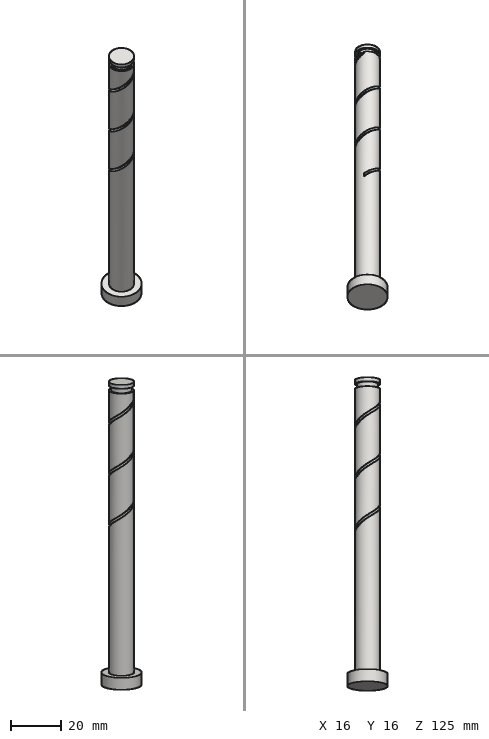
import cadquery as cq

total_height = 125.0
flange_diameter = 16.0
flange_height = 5.0
shaft_diameter = 10.0

end_disc_height = 1.6
neck_height = 2.0
neck_diameter = 8.2

groove_pitch = 21.0
groove_turns = 3
groove_start_height = 58.6
groove_radius = 0.6

shaft_radius = shaft_diameter / 2
disc_bottom = total_height - end_disc_height
shoulder_height = disc_bottom - neck_height


def cylinder(diameter, bottom, top):
    """Vertical cylinder on the Z axis between two heights."""
    return cq.Workplane("XY").workplane(offset=bottom).circle(diameter / 2).extrude(top - bottom)


def pin_body():
    """Flange, shaft, neck and end disc stacked on one axis."""
    flange = cylinder(flange_diameter, 0, flange_height)
    shaft = cylinder(shaft_diameter, flange_height, shoulder_height)
    neck = cylinder(neck_diameter, shoulder_height, disc_bottom)
    end_disc = cylinder(shaft_diameter, disc_bottom, total_height)
    return flange.union(shaft).union(neck).union(end_disc)


def spiral_cutter():
    """Circle centered on the shaft surface, swept up a helix that starts on the +Y side of the shaft."""
    helix = cq.Wire.makeHelix(groove_pitch, groove_pitch * groove_turns, shaft_radius)
    cutter = (
        cq.Workplane("XZ")
        .center(shaft_radius, 0)
        .circle(groove_radius)
        .sweep(cq.Workplane(obj=helix), isFrenet=True)
    )
    return cutter.rotate((0, 0, 0), (0, 0, 1), 90).translate((0, 0, groove_start_height))


groove = spiral_cutter().intersect(cylinder(flange_diameter, flange_height, shoulder_height))
result = pin_body().cut(groove)